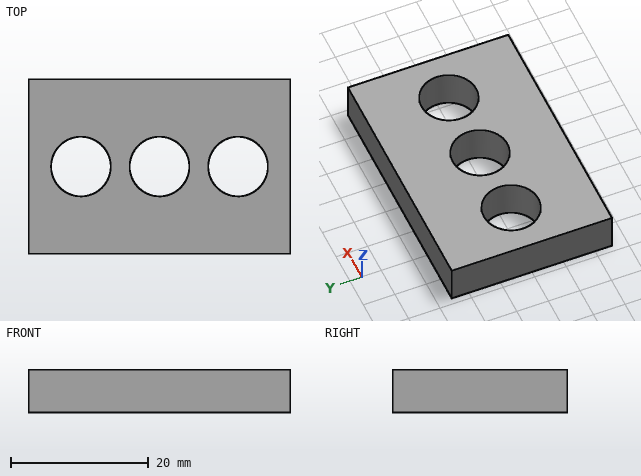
import cadquery as cq

length = 38.1
width = 25.4
thickness = 6.25

hole_diameter = 8.65
hole_pitch = 11.43
hole_count = 3

plate = cq.Workplane("XY").box(length, width, thickness)

result = (
    plate.faces(">Z")
    .workplane()
    .rarray(hole_pitch, 0.4, hole_count, 1)
    .hole(hole_diameter)
)